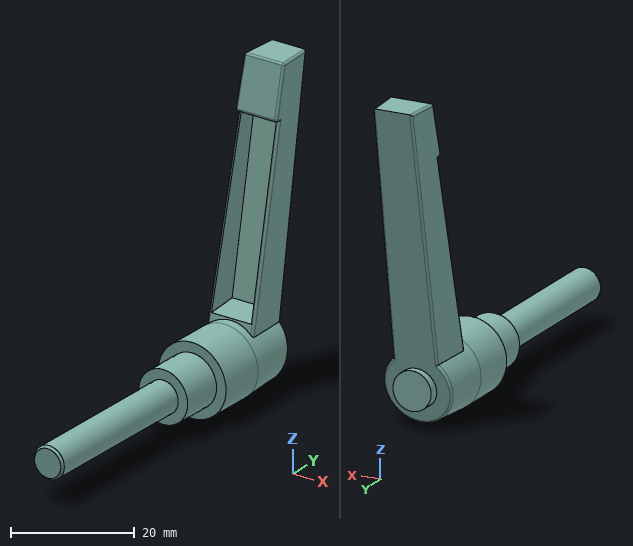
import cadquery as cq
import math

stud_tip_y = -40.1
collar_end_y = -8.0
taper_start_y = 8.9
button_end_y = 20.0

stud_radius = 3.0
stud_chamfer = 0.4
collar_radius = 4.9
hub_radius = 6.75
hub_back_radius = 6.1
hub_blank_end_y = 20.75
hub_back_fillet = 0.4
button_radius = 3.5
button_depth = 6.7

arm_top_z = 49.8
arm_top_back_y = 26.85
arm_top_front_y = 20.0
arm_root_z = 2.7
back_lean = math.tan(math.radians(10))
grip_lean = 0.25
stem_lean = 0.23
step_z = 40.3
step_depth = 0.95
arm_fillet = 0.4

arm_back_half_width = 3.55
side_flare = 0.064

pocket_back_wall = 3.2
pocket_side_wall = 0.6
pocket_bottom_z = 7.75
pocket_bottom_slope = 0.15
pocket_mouth_y = 3.35


def back_y(z):
    """Y of the leaning plane shared by the back of the arm and the hub."""
    return arm_top_back_y - (arm_top_z - z) * back_lean


def cylinder_y(radius, start_y, end_y):
    start_plane = cq.Plane(origin=(0, start_y, 0), xDir=(1, 0, 0), normal=(0, 1, 0))
    return cq.Workplane(start_plane).circle(radius).extrude(end_y - start_y)


def side_extrusion(points, width):
    """Extrude an outline of (y, z) points equally to both sides of X = 0."""
    return cq.Workplane("YZ").polyline(points).close().extrude(width / 2, both=True)


def flared_block(inset):
    """Upright block bounded by the arm's flared sides, moved inwards by inset."""
    front_y = stud_tip_y
    back_half = arm_back_half_width - inset
    front_half = back_half + (arm_top_back_y - front_y) * side_flare
    outline = [
        (-back_half, arm_top_back_y),
        (back_half, arm_top_back_y),
        (front_half, front_y),
        (-front_half, front_y),
    ]
    return cq.Workplane("XY").polyline(outline).close().extrude(arm_top_z)


step_tip_y = arm_top_front_y - (arm_top_z - step_z) * grip_lean
step_root_y = step_tip_y + step_depth
step_root_z = step_z - step_depth * grip_lean
arm_root_front_y = step_root_y - (step_root_z - arm_root_z) * stem_lean


def make_hub():
    outline = [
        (0, 0),
        (hub_radius, 0),
        (hub_radius, taper_start_y),
        (hub_back_radius, hub_blank_end_y),
        (0, hub_blank_end_y),
    ]
    blank = cq.Workplane("XY").polyline(outline).close().revolve(360, (0, 0, 0), (0, 1, 0))
    low_z = -2 * hub_radius
    high_z = 2 * hub_radius
    keep = side_extrusion(
        [(0, low_z), (back_y(low_z), low_z), (back_y(high_z), high_z), (0, high_z)],
        4 * hub_radius,
    )
    hub = blank.intersect(keep)
    return hub.faces(">Y").edges().fillet(hub_back_fillet)


def make_arm():
    outline = [
        (back_y(arm_root_z), arm_root_z),
        (arm_top_back_y, arm_top_z),
        (arm_top_front_y, arm_top_z),
        (step_tip_y, step_z),
        (step_root_y, step_root_z),
        (arm_root_front_y, arm_root_z),
    ]
    arm = side_extrusion(outline, 2 * hub_radius).intersect(flared_block(0))
    side_edges = arm.faces("<X or >X").edges()
    top_front_edge = arm.faces(">Z").edges("<Y")
    step_tip_edge = arm.edges(
        cq.selectors.BoxSelector(
            (-0.7, step_tip_y - 0.1, step_z - 0.1), (0.7, step_tip_y + 0.1, step_z + 0.1)
        )
    )
    root_edges = arm.faces("<Z").edges()
    rounded = side_edges.add(top_front_edge).add(step_tip_edge)
    kept = [edge for edge in rounded.vals() if not any(edge.isSame(root) for root in root_edges.vals())]
    return arm.newObject(kept).fillet(arm_fillet)


def make_pocket():
    floor_bottom_y = back_y(pocket_bottom_z) - pocket_back_wall
    floor_at_step_y = back_y(step_root_z) - pocket_back_wall
    ceiling_run = (floor_at_step_y - step_root_y) / (1 + grip_lean * back_lean)
    outline = [
        (floor_bottom_y, pocket_bottom_z),
        (step_root_y + ceiling_run, step_root_z - ceiling_run * grip_lean),
        (step_root_y, step_root_z),
        (pocket_mouth_y, step_root_z),
        (pocket_mouth_y, pocket_bottom_z - (floor_bottom_y - pocket_mouth_y) * pocket_bottom_slope),
    ]
    return side_extrusion(outline, 2 * hub_radius).intersect(flared_block(pocket_side_wall))


stud = cylinder_y(stud_radius, stud_tip_y, 0).faces("<Y").chamfer(stud_chamfer)
collar = cylinder_y(collar_radius, collar_end_y, 0)
button = cylinder_y(button_radius, button_end_y - button_depth, button_end_y)

arm = make_arm().cut(make_pocket())
result = make_hub().union(arm).union(button).union(collar).union(stud)